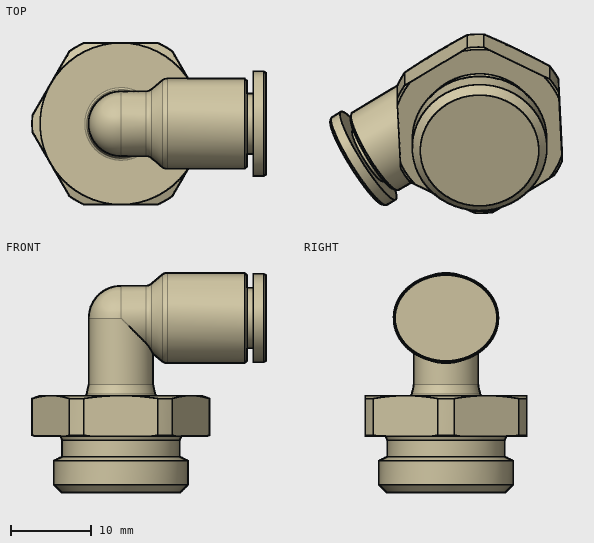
import cadquery as cq
import math

thread_radius = 16.66 / 2
thread_end_chamfer = 1.0
thread_top = 3.95
relief_radius = 14.6 / 2
relief_bottom = 4.45
relief_top = 6.5
collar_radius = 15.0 / 2

nut_bottom = 7.0
nut_height = 5.0
nut_top = nut_bottom + nut_height
nut_across_flats = 20.0
nut_corner_radius = 11.0
nut_chamfer_slope = math.tan(math.radians(20))
nut_top_face_radius = nut_across_flats / 2
nut_bottom_face_radius = 10.7

elbow_radius = 4.0
branch_height = 21.6
foot_height = 1.4
foot_radius = 4.25
foot_fillet = 0.25

socket_radius = 5.6
shoulder_start = 3.1
shoulder_angle = math.radians(40)
shoulder_blend = 1.0
socket_end = 15.6
socket_chamfer = 0.3

button_neck_radius = 7.5 / 2
flange_start = 16.35
flange_end = 17.95
flange_width = 13.0
flange_height = 11.0
flange_rim_length = 0.3
flange_rim_depth = 0.2


def make_threaded_end():
    profile = (
        cq.Workplane("XZ")
        .moveTo(0, 0)
        .lineTo(thread_radius - thread_end_chamfer, 0)
        .lineTo(thread_radius, thread_end_chamfer)
        .lineTo(thread_radius, thread_top)
        .lineTo(relief_radius, relief_bottom)
        .lineTo(relief_radius, relief_top)
        .lineTo(collar_radius, nut_bottom)
        .lineTo(0, nut_bottom)
        .close()
    )
    return profile.revolve(360, (0, 0, 0), (0, 1, 0))


def make_nut():
    across_corners = nut_across_flats / math.cos(math.pi / 6)
    hexagon = cq.Workplane("XY").workplane(offset=nut_bottom).polygon(6, across_corners).extrude(nut_height)
    top_drop = (nut_corner_radius - nut_top_face_radius) * nut_chamfer_slope
    bottom_rise = (nut_corner_radius - nut_bottom_face_radius) * nut_chamfer_slope
    envelope = (
        cq.Workplane("XZ")
        .moveTo(0, nut_bottom)
        .lineTo(nut_bottom_face_radius, nut_bottom)
        .lineTo(nut_corner_radius, nut_bottom + bottom_rise)
        .lineTo(nut_corner_radius, nut_top - top_drop)
        .lineTo(nut_top_face_radius, nut_top)
        .lineTo(0, nut_top)
        .close()
        .revolve(360, (0, 0, 0), (0, 1, 0))
    )
    return hexagon.intersect(envelope)


def make_stem():
    profile = (
        cq.Workplane("XZ")
        .moveTo(0, nut_top)
        .lineTo(foot_radius + foot_fillet, nut_top)
        .radiusArc((foot_radius, nut_top + foot_fillet), foot_fillet)
        .lineTo(elbow_radius, nut_top + foot_height)
        .lineTo(elbow_radius, branch_height)
        .lineTo(0, branch_height)
        .close()
    )
    return profile.revolve(360, (0, 0, 0), (0, 1, 0))


def make_elbow_sphere():
    return cq.Workplane("XY").sphere(elbow_radius).translate((0, 0, branch_height))


def make_branch():
    blend_length = shoulder_blend * math.sin(shoulder_angle)
    blend_rise = shoulder_blend * (1 - math.cos(shoulder_angle))
    cone_rise = socket_radius - elbow_radius - 2 * blend_rise
    cone_start = shoulder_start + blend_length
    cone_end = cone_start + cone_rise / math.tan(shoulder_angle)
    shoulder_end = cone_end + blend_length
    profile = (
        cq.Workplane("XZ", origin=(0, 0, branch_height))
        .moveTo(0, 0)
        .lineTo(0, elbow_radius)
        .lineTo(shoulder_start, elbow_radius)
        .radiusArc((cone_start, elbow_radius + blend_rise), -shoulder_blend)
        .lineTo(cone_end, socket_radius - blend_rise)
        .radiusArc((shoulder_end, socket_radius), shoulder_blend)
        .lineTo(socket_end - socket_chamfer, socket_radius)
        .lineTo(socket_end, socket_radius - socket_chamfer)
        .lineTo(socket_end, button_neck_radius)
        .lineTo(flange_start, button_neck_radius)
        .lineTo(flange_start, 0)
        .close()
    )
    return profile.revolve(360, (0, 0, 0), (1, 0, 0))


def make_button_flange():
    half_width = flange_width / 2
    half_height = flange_height / 2
    rim_start = flange_end - flange_rim_length
    body = (
        cq.Workplane("YZ", origin=(flange_start, 0, branch_height))
        .ellipse(half_width, half_height)
        .extrude(rim_start - flange_start)
    )
    rim = (
        cq.Workplane("YZ", origin=(rim_start, 0, branch_height))
        .ellipse(half_width, half_height)
        .workplane(offset=flange_rim_length)
        .ellipse(half_width - flange_rim_depth, half_height - flange_rim_depth)
        .loft(ruled=True)
    )
    return body.union(rim)


result = (
    make_threaded_end()
    .union(make_nut())
    .union(make_stem())
    .union(make_branch())
    .union(make_elbow_sphere())
    .union(make_button_flange())
)